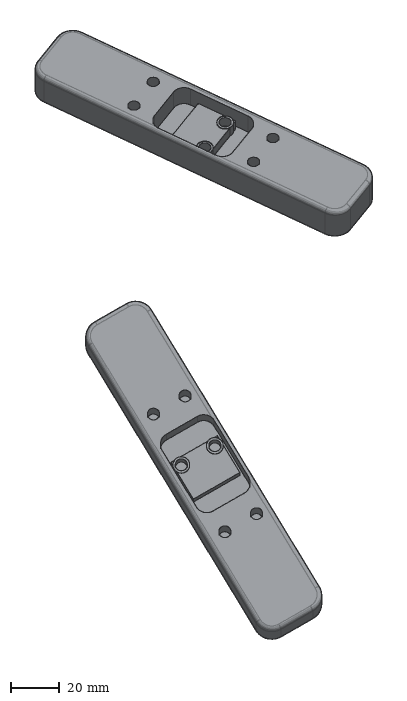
import cadquery as cq

LENGTH = 150.0
WIDTH = 30.0
HEIGHT = 15.0
CORNER_RADIUS = 7.5
TOP_FILLET = 2.0

POCKET_LENGTH = 37.5
POCKET_WIDTH = 24.8
POCKET_DEPTH = 10.0
POCKET_RADIUS = 5.0
POCKET_X = 0.3
POCKET_Y = -0.9

PAD_LENGTH = 18.0
PAD_WIDTH = 22.0
PAD_HEIGHT = 5.0
PAD_Y = -0.8

POST_X = 5.8
POST_SPACING = 15.9
POST_DIAMETER = 6.9
POST_BORE = 5.0
POST_HEIGHT = 5.2

HOLE_DIAMETER = 5.0
HOLE_DEPTH = 10.0
HOLE_SPACING_X = 57.5
HOLE_SPACING_Y = 15.0
HOLE_X = 0.3
HOLE_Y = -0.8

FLOOR_Z = HEIGHT - POCKET_DEPTH


def block(length, width, height, z, x=0.0, y=0.0):
    """Box centred on (x, y) with its bottom face at z."""
    return cq.Workplane("XY", origin=(x, y, z)).box(length, width, height, centered=(True, True, False))


def cylinders(points, diameter, height, z):
    """Upright cylinders at the given points, starting at z."""
    return cq.Workplane("XY", origin=(0, 0, z)).pushPoints(points).circle(diameter / 2).extrude(height)


body = block(LENGTH, WIDTH, HEIGHT, 0).edges("|Z").fillet(CORNER_RADIUS)
body = body.faces(">Z").edges().fillet(TOP_FILLET)

pocket = block(POCKET_LENGTH, POCKET_WIDTH, POCKET_DEPTH, FLOOR_Z, POCKET_X, POCKET_Y)
body = body.cut(pocket.edges("|Z").fillet(POCKET_RADIUS))

pad = block(PAD_LENGTH, PAD_WIDTH, PAD_HEIGHT, FLOOR_Z, y=PAD_Y)
post_points = [(POST_X, PAD_Y + side * POST_SPACING / 2) for side in (-1, 1)]
posts = cylinders(post_points, POST_DIAMETER, POST_HEIGHT, FLOOR_Z)
bores = cylinders(post_points, POST_BORE, POST_HEIGHT, FLOOR_Z)
body = body.union(pad).union(posts).cut(bores)

hole_points = [
    (HOLE_X + side_x * HOLE_SPACING_X / 2, HOLE_Y + side_y * HOLE_SPACING_Y / 2)
    for side_x in (-1, 1)
    for side_y in (-1, 1)
]
result = body.cut(cylinders(hole_points, HOLE_DIAMETER, HOLE_DEPTH, HEIGHT - HOLE_DEPTH))